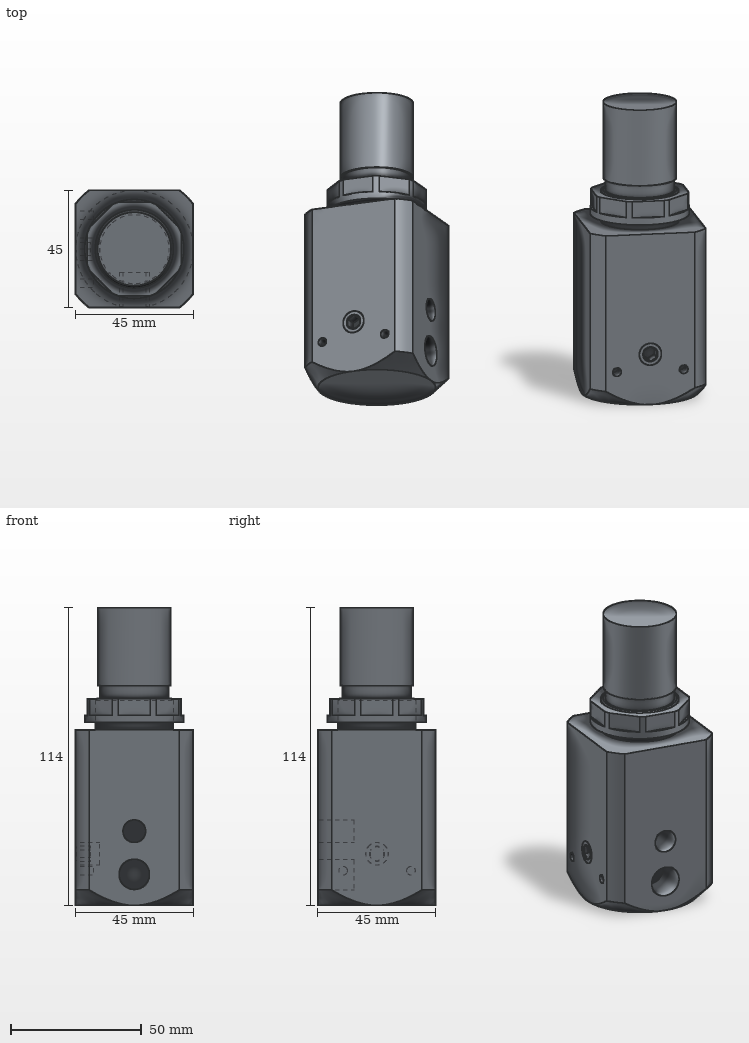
import cadquery as cq
import math

block_width = 45.0
block_corner_dia = 56.8
block_height = 67.1

neck_dia = 30.0
neck_top = 79.3
neck_chamfer = 0.9
stem_dia = 26.5
knob_dia = 28.0
knob_bottom = 84.1
total_height = 114.0

nut_bottom = 70.0
flange_dia = 38.0
flange_height = 2.7
nut_top = 79.0
nut_across_flats = 35.9
flat_count = 8

port_depth = 13.7
upper_port_dia = 8.7
upper_port_z = 28.4
lower_port_dia = 11.6
lower_port_z = 11.9

mount_hole_dia = 3.3
mount_hole_depth = 6.8
mount_hole_spacing = 26.0
mount_hole_z = 13.3

screw_dia = 8.5
screw_hole_dia = 8.7
screw_length = 9.1
screw_z = 19.8
socket_across_flats = 5.0
socket_depth = 5.7
socket_chamfer = 0.3


def cylinder(diameter, bottom, top):
    """Upright cylinder on the Z axis between two heights."""
    return cq.Workplane("XY").workplane(offset=bottom).circle(diameter / 2).extrude(top - bottom)


def hole_from_front(diameter, z):
    """Cutter for a blind port entering the -Y face."""
    face = cq.Workplane("XZ", origin=(0, -block_width / 2, z))
    return face.circle(diameter / 2).extrude(-port_depth)


def rod_from_left(diameter, length, y, z):
    """Cylinder running from the -X face into the block."""
    face = cq.Workplane("YZ", origin=(-block_width / 2, y, z))
    return face.circle(diameter / 2).extrude(length)


def make_block():
    """Square block with turned corners and a 45 degree conical lower edge."""
    square = cq.Workplane("XY").rect(block_width, block_width).extrude(block_height)
    corner_radius = block_corner_dia / 2
    base_radius = block_width / 2
    cone_height = corner_radius - base_radius
    turned_envelope = (
        cq.Workplane("XZ")
        .moveTo(0, 0)
        .lineTo(base_radius, 0)
        .lineTo(corner_radius, cone_height)
        .lineTo(corner_radius, block_height)
        .lineTo(0, block_height)
        .close()
        .revolve()
    )
    return square.intersect(turned_envelope)


def make_housing():
    """Block with its neck, stem and knob, less the ports and holes."""
    neck = cylinder(neck_dia, block_height, neck_top).faces(">Z").chamfer(neck_chamfer)
    stem = cylinder(stem_dia, neck_top, knob_bottom)
    knob = cylinder(knob_dia, knob_bottom, total_height)
    housing = make_block().union(neck).union(stem).union(knob)

    housing = housing.cut(hole_from_front(upper_port_dia, upper_port_z))
    housing = housing.cut(hole_from_front(lower_port_dia, lower_port_z))
    for side in (-1, 1):
        y = side * mount_hole_spacing / 2
        housing = housing.cut(rod_from_left(mount_hole_dia, mount_hole_depth, y, mount_hole_z))
    return housing.cut(rod_from_left(screw_hole_dia, screw_length, 0, screw_z))


def make_nut():
    """Nut with rounded octagon corners above a round flange."""
    flange_top = nut_bottom + flange_height
    octagon_dia = nut_across_flats / math.cos(math.pi / flat_count)
    octagon = (
        cq.Workplane("XY")
        .workplane(offset=flange_top)
        .transformed(rotate=(0, 0, 180 / flat_count))
        .polygon(flat_count, octagon_dia)
        .extrude(nut_top - flange_top)
    )
    rounded_octagon = octagon.intersect(cylinder(flange_dia, flange_top, nut_top))
    flange = cylinder(flange_dia, nut_bottom, flange_top)
    return flange.union(rounded_octagon).cut(cylinder(neck_dia, nut_bottom, nut_top))


def make_screw():
    """Flush set screw with a countersunk hexagon socket."""
    socket_dia = socket_across_flats / math.cos(math.pi / 6)
    face = cq.Workplane("YZ", origin=(-block_width / 2, 0, screw_z))
    socket = face.transformed(rotate=(0, 0, 90)).polygon(6, socket_dia).extrude(socket_depth)
    countersink = (
        face.circle(socket_dia / 2)
        .workplane(offset=socket_chamfer)
        .circle(socket_dia / 2 - socket_chamfer)
        .loft()
    )
    screw = rod_from_left(screw_dia, screw_length, 0, screw_z)
    return screw.cut(socket).cut(countersink)


housing = make_housing()
nut = make_nut()
screw = make_screw()

result = cq.Compound.makeCompound([housing.val(), nut.val(), screw.val()])